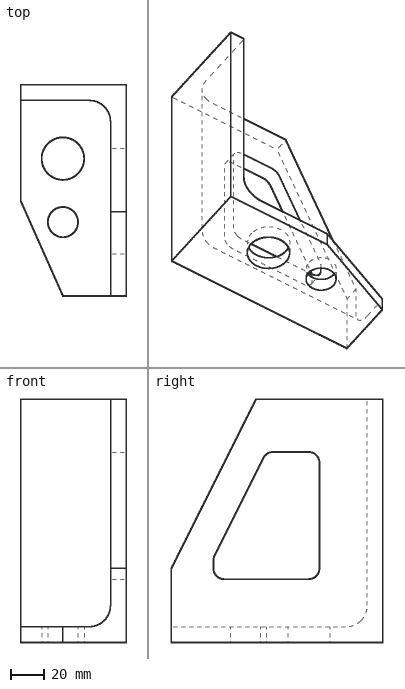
import cadquery as cq

INCH = 25.4
width = 2.5 * INCH
depth = 5.0 * INCH
height = 5.75 * INCH
wall = 0.375 * INCH
inner_radius = 0.5 * INCH

side_top_length = 3.0 * INCH
side_front_height = 1.75 * INCH

corner_cut_x = 1.0 * INCH
corner_cut_y = 2.25 * INCH

hole_x = 1.0 * INCH
large_hole_diameter = 1.0 * INCH
large_hole_from_back = 1.75 * INCH
small_hole_diameter = 18.0
small_hole_from_back = 3.25 * INCH

window_back_y = depth - 1.5 * INCH
window_front_y = 1.0 * INCH
window_bottom_z = 1.5 * INCH
window_top_z = 4.5 * INCH
window_top_front_y = window_back_y - 1.25 * INCH
window_front_top_z = 2.0 * INCH
window_corner_radius = 0.25 * INCH


def walled_corner():
    """Block hollowed to a base, a back wall and a side wall with blended inner edges."""
    block = cq.Workplane("XY").box(width, depth, height, centered=False)
    overrun = 2 * inner_radius
    cavity = (
        cq.Workplane("XY")
        .box(width - wall + overrun, depth - wall + overrun, height - wall + overrun, centered=False)
        .translate((-overrun, -overrun, wall))
    )
    cavity = cavity.edges("(>X and >Y) or (>X and <Z) or (>Y and <Z)").fillet(inner_radius)
    return block.cut(cavity)


def side_outline():
    """Side profile with the sloped front edge, swept across the full width."""
    return (
        cq.Workplane("YZ")
        .polyline([
            (0, 0),
            (depth, 0),
            (depth, height),
            (depth - side_top_length, height),
            (0, side_front_height),
        ])
        .close()
        .extrude(width)
    )


def base_outline():
    """Base profile with the angled front corner, swept through the full height."""
    return (
        cq.Workplane("XY")
        .polyline([
            (corner_cut_x, 0),
            (width, 0),
            (width, depth),
            (0, depth),
            (0, corner_cut_y),
        ])
        .close()
        .extrude(height)
    )


def base_hole(diameter, from_back):
    """Cutter for one round hole through the base plate."""
    return cq.Workplane("XY").center(hole_x, depth - from_back).circle(diameter / 2).extrude(wall)


def side_window():
    """Cutter for the five-sided window with rounded corners."""
    return (
        cq.Workplane("YZ", origin=(width - wall, 0, 0))
        .polyline([
            (window_front_y, window_bottom_z),
            (window_back_y, window_bottom_z),
            (window_back_y, window_top_z),
            (window_top_front_y, window_top_z),
            (window_front_y, window_front_top_z),
        ])
        .close()
        .extrude(wall)
        .edges("|X")
        .fillet(window_corner_radius)
    )


result = walled_corner().intersect(side_outline()).intersect(base_outline())
result = result.cut(base_hole(large_hole_diameter, large_hole_from_back))
result = result.cut(base_hole(small_hole_diameter, small_hole_from_back))
result = result.cut(side_window())